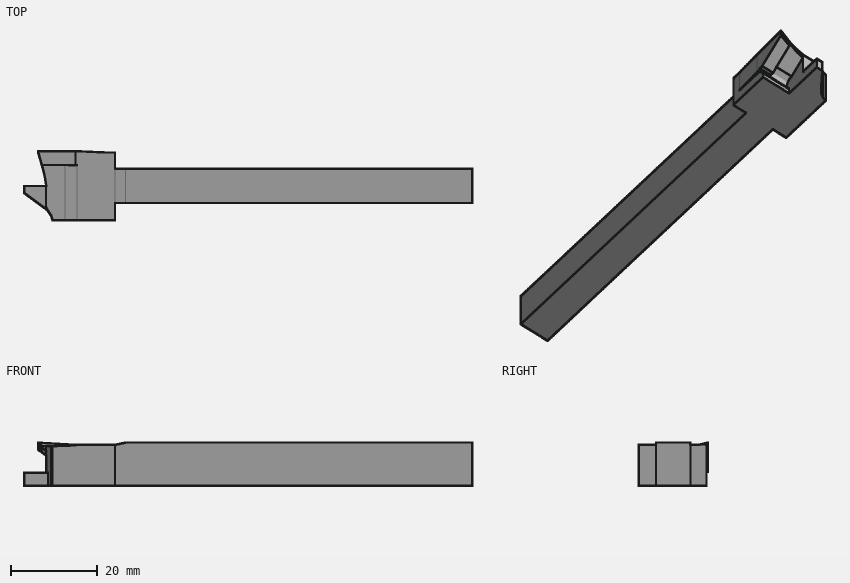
import cadquery as cq

length = 103.3
height = 10.0

shank_width = 8.0
ramp_end_x = 23.3

head_back_x = 21.0
head_right_y = -8.0
head_left_y = 7.7
head_top = 9.5
front_land_z = 9.2
land_end_x = 9.4
groove_end_x = 12.2
groove_middle_rise = 0.1
nose_x = 5.1
nose_corner_y = -4.9
nose_arc_middle = (5.6, -5.9)
beak_arc_middle = (4.8, 2.0)
nose_shoulder = (6.2, -6.8)
nose_side_x = 6.5

tooth_height = 3.1
tooth_tip_width = 1.7
tooth_root = (5.9, -6.0)

lip_x = 10.1
lip_z = 1.7
pocket_back = (11.0, 3.6)
pocket_upper = (9.2, 5.2)
pocket_mouth_z = 8.8

blade_tip_x = 3.2
blade_inner_y = 4.9
blade_outer_y = 8.1
blade_inner_tip_x = 4.0
blade_tip_under_z = 8.4
blade_heel = (10.0, 3.6)
blade_tip_top = 10.0
blade_top_fall = 0.5
blade_inner_drop = 0.7
blade_bottom_z = 3.2
blade_end_x = 11.9
blade_taper_end_x = 18.8


def extrude_along_y(profile, start_y, end_y):
    """Extrude an XZ profile between two Y positions."""
    return profile.extrude(start_y - end_y).translate((0, start_y, 0))


def make_shank():
    profile = (
        cq.Workplane("XZ")
        .moveTo(groove_end_x, 0)
        .lineTo(length, 0)
        .lineTo(length, height)
        .lineTo(ramp_end_x, height)
        .lineTo(head_back_x, head_top)
        .lineTo(groove_end_x, head_top)
        .close()
    )
    return extrude_along_y(profile, -shank_width / 2, shank_width / 2)


def make_head():
    outline = (
        cq.Workplane("XY")
        .moveTo(nose_x, 0)
        .lineTo(nose_x, nose_corner_y)
        .threePointArc(nose_arc_middle, nose_shoulder)
        .lineTo(nose_side_x, head_right_y)
        .lineTo(head_back_x, head_right_y)
        .lineTo(head_back_x, head_left_y)
        .lineTo(blade_tip_x, head_left_y)
        .lineTo(blade_inner_tip_x, blade_inner_y)
        .threePointArc(beak_arc_middle, (nose_x, 0))
        .close()
        .extrude(head_top)
    )
    return outline.cut(make_land_cut()).cut(make_pocket())


def make_land_cut():
    """Lowered front land that rises to the head top along a shallow concave curve."""
    middle = ((land_end_x + groove_end_x) / 2, front_land_z + groove_middle_rise)
    profile = (
        cq.Workplane("XZ")
        .moveTo(0, front_land_z)
        .lineTo(land_end_x, front_land_z)
        .threePointArc(middle, (groove_end_x, head_top))
        .lineTo(groove_end_x, height)
        .lineTo(0, height)
        .close()
    )
    return extrude_along_y(profile, head_right_y, head_left_y)


def make_pocket():
    """Undercut open to the front and to the +Y side."""
    profile = (
        cq.Workplane("XZ")
        .moveTo(0, 0)
        .lineTo(lip_x, 0)
        .lineTo(lip_x, lip_z)
        .threePointArc(pocket_back, pocket_upper)
        .lineTo(blade_inner_tip_x, pocket_mouth_z)
        .lineTo(0, pocket_mouth_z)
        .close()
    )
    return extrude_along_y(profile, 0, blade_outer_y)


def make_tooth():
    return (
        cq.Workplane("XY")
        .lineTo(0, -tooth_tip_width)
        .lineTo(*tooth_root)
        .lineTo(tooth_root[0], 0)
        .close()
        .extrude(tooth_height)
    )


def make_blade():
    """Blade with a raked underside and a tapered outer side."""
    plan = (
        cq.Workplane("XY")
        .moveTo(blade_tip_x, blade_outer_y)
        .lineTo(blade_inner_tip_x, blade_inner_y)
        .lineTo(blade_taper_end_x, blade_inner_y)
        .lineTo(blade_taper_end_x, head_left_y)
        .lineTo(blade_end_x, blade_outer_y)
        .close()
        .extrude(height)
    )
    side = (
        cq.Workplane("XZ")
        .moveTo(blade_tip_x, blade_tip_under_z)
        .lineTo(*blade_heel)
        .lineTo(*pocket_back)
        .lineTo(pocket_back[0], blade_bottom_z)
        .lineTo(blade_taper_end_x, blade_bottom_z)
        .lineTo(blade_taper_end_x, head_top)
        .lineTo(blade_end_x, head_top)
        .lineTo(blade_tip_x, blade_tip_top)
        .close()
    )
    return plan.intersect(extrude_along_y(side, blade_inner_y, blade_outer_y))


def make_blade_top_cut():
    """Space above the blade's flat top, which falls toward the back and toward -Y."""
    blade_length = blade_end_x - blade_tip_x
    blade_width = blade_outer_y - blade_inner_y
    along = cq.Vector(blade_length, 0, -blade_top_fall)
    across = cq.Vector(0, blade_width, blade_inner_drop)
    top_plane = cq.Plane(
        origin=(blade_tip_x, blade_outer_y, blade_tip_top),
        xDir=along,
        normal=along.cross(across),
    )
    return (
        cq.Workplane(top_plane)
        .moveTo(0, across.Length)
        .lineTo(along.Length, across.Length)
        .lineTo(along.Length, -across.Length)
        .lineTo(0, -across.Length)
        .close()
        .extrude(height)
    )


result = make_head().union(make_blade()).cut(make_blade_top_cut())
result = result.union(make_shank()).union(make_tooth())